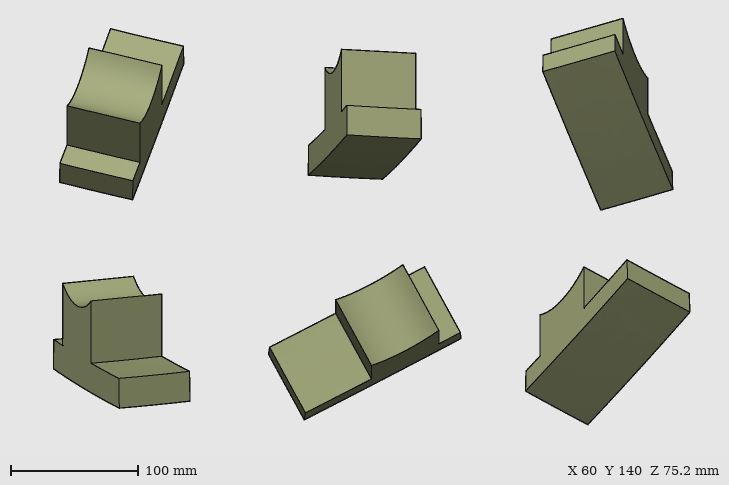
import cadquery as cq

width = 60.0
post_length = 60.0
back_reach = 90.0
front_reach = 50.0
height = 75.2
base_thickness = 24.1
outer_radius = 2000.0
saddle_radius = 46.0

inner_radius = outer_radius - base_thickness
post_half = post_length / 2
saddle_axis_z = height + (saddle_radius**2 - post_half**2) ** 0.5


def sphere(radius):
    """Sphere sharing the centre of the curved base, high above the part."""
    return cq.Workplane("XY").sphere(radius).translate((0, 0, outer_radius))


def radial_end(reach):
    """Point of the underside at the given Y, and its image on the inner radius."""
    depth = (outer_radius**2 - reach**2) ** 0.5
    shrink = inner_radius / outer_radius
    lower = (reach, outer_radius - depth)
    upper = (reach * shrink, outer_radius - depth * shrink)
    return lower, upper


def extend(start, end, factor):
    """Point on the line from start through end, at a multiple of their distance."""
    return tuple(a + factor * (b - a) for a, b in zip(start, end))


def prism(points):
    """Side outline in the YZ plane, extruded across the full width."""
    outline = cq.Workplane("YZ").polyline(points).close()
    return outline.extrude(width / 2, both=True)


def make_base():
    """Spherical shell segment whose end faces point at the sphere centre."""
    overshoot = 2
    back_lower, back_upper = radial_end(back_reach)
    front_lower, front_upper = radial_end(-front_reach)
    blank = prism([
        extend(back_upper, back_lower, overshoot),
        extend(back_lower, back_upper, overshoot),
        extend(front_lower, front_upper, overshoot),
        extend(front_upper, front_lower, overshoot),
    ])
    return blank.intersect(sphere(outer_radius)).cut(sphere(inner_radius))


def make_post():
    """Square post rising out of the base, with a round saddle across its top."""
    bottom = base_thickness / 2
    post = prism([
        (-post_half, bottom),
        (post_half, bottom),
        (post_half, height),
        (-post_half, height),
    ])
    saddle = (
        cq.Workplane("YZ")
        .center(0, saddle_axis_z)
        .circle(saddle_radius)
        .extrude(width, both=True)
    )
    return post.cut(saddle)


result = make_base().union(make_post())